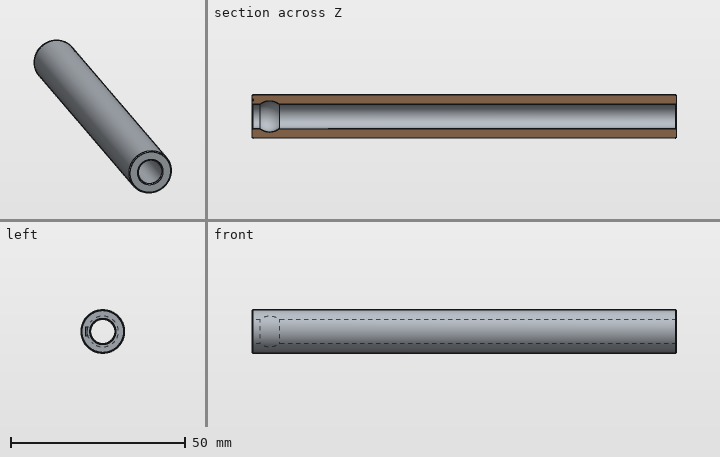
import cadquery as cq
import math

length = 121.9
outer_diameter = 12.5
bore_diameter = 7.0
edge_chamfer = 0.3

pocket_diameter = 8.9
pocket_start_depth = 2.3

slot_width = 0.4
slot_length = 2.7
slot_depth = 0.4
slot_offset = 4.8

left_end = -length / 2


def tube():
    """Tube along X, centred on the origin, with all four end edges chamfered."""
    ring = cq.Workplane("YZ", origin=(left_end, 0, 0)).circle(outer_diameter / 2).circle(bore_diameter / 2)
    return ring.extrude(length).faces("<X or >X").edges().chamfer(edge_chamfer)


def pocket():
    """Ball on the bore axis that meets the bore wall at the pocket start depth."""
    radius = pocket_diameter / 2
    half_opening = math.sqrt(radius**2 - (bore_diameter / 2) ** 2)
    centre_x = left_end + pocket_start_depth + half_opening
    half_disc = (
        cq.Workplane("XY", origin=(centre_x, 0, 0))
        .moveTo(-radius, 0)
        .threePointArc((0, radius), (radius, 0))
        .close()
    )
    return half_disc.revolve(360, (0, 0, 0), (1, 0, 0))


def slot():
    """Shallow slot in the -X end face, with its long side along Z."""
    outline = cq.Workplane("YZ", origin=(left_end, slot_offset, 0)).rect(slot_width, slot_length)
    return outline.extrude(slot_depth)


result = tube().cut(pocket()).cut(slot())